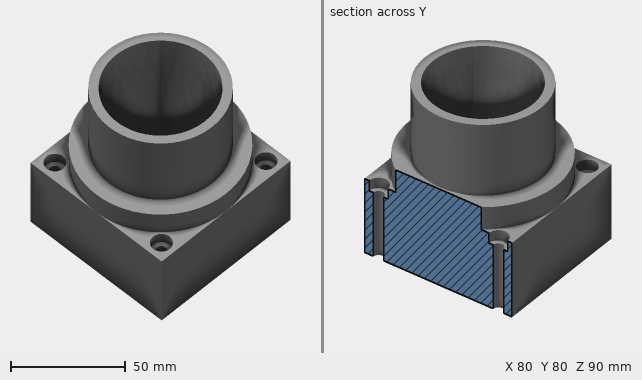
import cadquery as cq

side = 80.0
total_height = 90
base_height = 40.0
flange_height = 12.0
spigot_diameter = 63
spigot_height = total_height - base_height - flange_height

passage_square = 49.95
passage_diameter = 54

hole_spacing = 65.0
hole_diameter = 5.5
counterbore_diameter = 10.0
counterbore_depth = 5.5


def make_body():
    """Square base carrying a round flange and a round spigot."""
    base = cq.Workplane("XY").rect(side, side).extrude(base_height)
    flange = base.faces(">Z").workplane().circle(side / 2).extrude(flange_height)
    return flange.faces(">Z").workplane().circle(spigot_diameter / 2).extrude(spigot_height)


def make_passage():
    """Smooth square-to-round transition through the full height."""
    return (
        cq.Workplane("XY", origin=(0, 0, total_height))
        .circle(passage_diameter / 2)
        .workplane(offset=-total_height)
        .rect(passage_square, passage_square)
        .loft()
    )


def make_screw_holes():
    """Through holes with counterbores sunk into the top of the base."""
    corners = cq.Workplane("XY").rect(hole_spacing, hole_spacing, forConstruction=True).vertices()
    shanks = corners.circle(hole_diameter / 2).extrude(base_height)
    counterbores = (
        cq.Workplane("XY", origin=(0, 0, base_height - counterbore_depth))
        .rect(hole_spacing, hole_spacing, forConstruction=True)
        .vertices()
        .circle(counterbore_diameter / 2)
        .extrude(counterbore_depth)
    )
    return shanks.union(counterbores)


result = make_body().cut(make_passage()).cut(make_screw_holes())